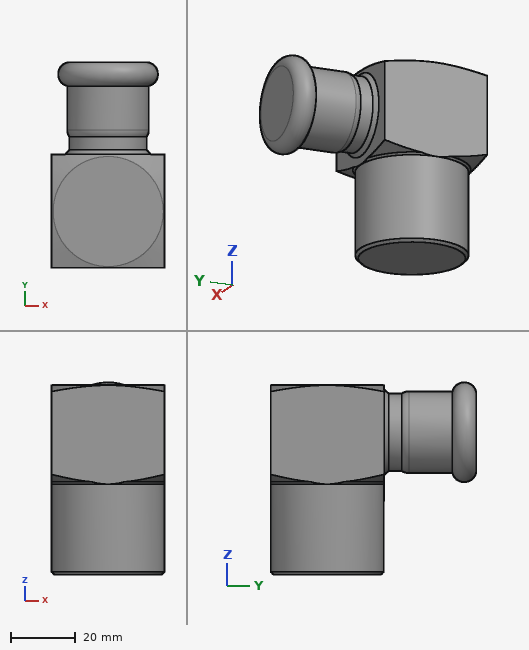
import cadquery as cq
import math

block_side = 35.0
block_bottom = 27.95
block_top = 58.55
top_face_diameter = 34.0
top_bevel_angle = 15.0
bottom_bevel_angle = 19.5
bottom_flare = 0.7

leg_diameter = block_side
leg_chamfer = 0.95

socket_height = 43.95
total_length = 63.5
bead_diameter = 30.85
bead_width = 7.4
tube_diameter = 25.3
tube_start = 5.5
tube_edge_length = 2.05
neck_diameter = 24.0
flare_diameter = 26.55
flare_length = 1.4

half_side = block_side / 2
corner_radius = half_side * math.sqrt(2)
envelope_radius = corner_radius + 0.65


def make_block():
    """Square block with its corners turned to a cone at each end."""
    height = block_top - block_bottom
    block = (
        cq.Workplane("XY")
        .workplane(offset=block_bottom)
        .rect(block_side, block_side)
        .extrude(height)
    )
    top_radius = top_face_diameter / 2
    top_drop = (envelope_radius - top_radius) * math.tan(math.radians(top_bevel_angle))
    flare_radius = half_side + bottom_flare
    flare_top = block_bottom + bottom_flare
    bottom_rise = (envelope_radius - flare_radius) * math.tan(math.radians(bottom_bevel_angle))
    turned_envelope = (
        cq.Workplane("XZ")
        .moveTo(0, block_bottom)
        .lineTo(half_side, block_bottom)
        .lineTo(flare_radius, flare_top)
        .lineTo(envelope_radius, flare_top + bottom_rise)
        .lineTo(envelope_radius, block_top - top_drop)
        .lineTo(top_radius, block_top)
        .lineTo(0, block_top)
        .close()
        .revolve(360, (0, 0, 0), (0, 1, 0))
    )
    return block.intersect(turned_envelope)


def make_leg():
    """Cylinder with a chamfered free end, running up to the block centre."""
    return (
        cq.Workplane("XY")
        .circle(leg_diameter / 2)
        .extrude(socket_height)
        .faces("<Z")
        .chamfer(leg_chamfer)
    )


def make_socket():
    """Flare, neck, tube and rounded end bead turned about the socket axis."""
    block_face = half_side
    end = total_length - half_side
    bead_start = end - bead_width
    bead_radius = bead_diameter / 2
    end_round = bead_width / 2
    bead_middle = end - end_round
    tube_radius = tube_diameter / 2
    neck_radius = neck_diameter / 2
    shoulder = block_face + tube_start
    shoulder_end = shoulder + tube_edge_length
    shoulder_drop = tube_radius - neck_radius
    shoulder_radius = (tube_edge_length**2 + shoulder_drop**2) / (2 * shoulder_drop)
    half_sweep = math.asin(tube_edge_length / shoulder_radius) / 2
    shoulder_middle = (
        tube_radius - shoulder_radius * (1 - math.cos(half_sweep)),
        shoulder_end - shoulder_radius * math.sin(half_sweep),
    )
    bead_side_radius = bead_radius - end_round
    profile = (
        cq.Workplane("XY")
        .lineTo(flare_diameter / 2, 0)
        .lineTo(flare_diameter / 2, block_face)
        .lineTo(neck_radius, block_face + flare_length)
        .lineTo(neck_radius, shoulder)
        .threePointArc(shoulder_middle, (tube_radius, shoulder_end))
        .lineTo(tube_radius, bead_start)
        .threePointArc((bead_radius, bead_middle), (bead_side_radius, end))
        .lineTo(0, end)
        .close()
    )
    socket = profile.revolve(360, (0, 0, 0), (0, 1, 0))
    return socket.translate((0, 0, socket_height))


result = make_block().union(make_leg()).union(make_socket())